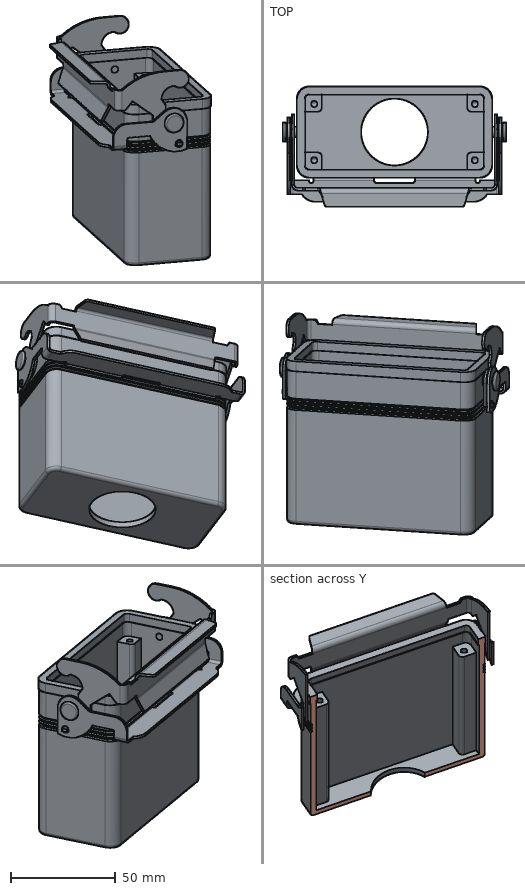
import cadquery as cq
import math

RIM_LENGTH = 94.0
RIM_WIDTH = 44.0
RIM_BOTTOM = 76.0
HOUSING_TOP = 81.0
RIM_OVERHANG = 0.3
BODY_LENGTH = RIM_LENGTH - 2 * RIM_OVERHANG
BODY_WIDTH = RIM_WIDTH - 2 * RIM_OVERHANG
RIM_CORNER = 6.1
BODY_CORNER = RIM_CORNER - RIM_OVERHANG
BOTTOM_FILLET = 1.8

OPENING_LENGTH = 86.0
OPENING_WIDTH = 36.0
OPENING_CORNER = 2.0
OPENING_DEPTH = 4.4
CAVITY_UNDERCUT = 0.4
CAVITY_LENGTH = OPENING_LENGTH + 2 * CAVITY_UNDERCUT
CAVITY_WIDTH = OPENING_WIDTH + 2 * CAVITY_UNDERCUT
CAVITY_CORNER = 3.2
FLOOR_THICKNESS = 3.0
CABLE_HOLE_DIAMETER = 32.0

POST_INNER_X = 34.9
POST_INNER_Y = 9.8
POST_CORNER = 2.0
POST_TOP = 69.1
SCREW_X = 38.6
SCREW_Y = 13.5
SCREW_DIAMETER = 3.0
SCREW_DEPTH = 12.0
DRILL_POINT_ANGLE = 118.0

GROOVE_COUNT = 3
GROOVE_HEIGHT = 1.6
GROOVE_DEPTH = 0.9
GROOVE_FLOOR = 0.4
GROOVE_PITCH = 2.05
GROOVES_TOP = 62.5

SHEET = 1.25
BEND_INNER = 1.3
BEND_OUTER = BEND_INNER + SHEET

PIVOT_Z = 72.0
PIN_DIAMETER = 5.2
PIN_END_DIAMETER = 3.4
HEAD_DIAMETER = 9.5
HEAD_OUTER_X = 53.75
HEAD_THICKNESS = 1.65
HEAD_ROUNDING = 0.8

LEVER_HALF_WIDTH = 49.35
LEVER_FRONT_Y = -28.1
LEVER_CORNER = 2.9
LEVER_TOP = 97.0
FRONT_TOP = 89.4
FRONT_BOTTOM = 79.35
FRONT_NOTCH_Z = 87.5
FRONT_NOTCH_HALF_WIDTH = 44.1
FRONT_NOTCH_SLOPE = 1.2

HOOK_TIP_Y = 4.2
HOOK_TIP_RADIUS = 4.35
HOOK_MOUTH_Y = 0.8
HOOK_MOUTH_Z = 83.4
HOOK_MOUTH_RADIUS = 6.0
HOOK_BACK_START_Y = -3.5
HOOK_BACK_MID = (-16.6, 94.6)
ARM_NECK_Z = 80.2
ARM_FRONT_TOP = 75.5
ARM_CROTCH = (-19.8, 83.5)
ARM_CROTCH_END_Y = -23.5
ARM_FRONT_Y = -9.5
ARM_BACK_Y = -3.0
ARM_FOOT_RADIUS = 8.0
ARM_FOOT_Z = 70.3
PIVOT_EYE_RADIUS = 5.5

FLANGE_TIP_Y = -35.98
FLANGE_TOP = 90.5
FLANGE_HALF_WIDTH = 35.9
FLAP_TIP_Z = 69.8
FLAP_HALF_WIDTH = 37.2
FLAP_BEND_Z = 78.0
FLAP_BEND_RADIUS = 1.6
FLAP_ANGLE = 23.5
TAB_TAPER = 15.0
TAB_CORNER = 1.5

STOP_Y = 2.95
STOP_Z = 61.0
STOP_WIDTH = 2.5
STOP_HEIGHT = 1.5
STOP_OUTER_X = 52.5
STOP_HOLE_DIAMETER = 3.5

BAIL_HALF_WIDTH = 51.45
BAIL_BOTTOM = 59.95
BAIL_BACK_Y = 7.0
BAIL_EYE_RADIUS = BAIL_BACK_Y
BAIL_ARM_TOP = 73.0
BAIL_ARM_BOTTOM = 66.1
BAIL_ARM_CORNER = 0.8
BAIL_NECK_Y = -10.1
BAIL_FRONT_Y = -30.0
BAIL_SHOULDER = 6.5
BAIL_FOOT_BOTTOM = 57.2
BAIL_FOOT_Y = 2.3
BAIL_FOOT_MID = (-5.9, 59.4)
BAIL_FOOT_FRONT_Y = -11.6
BAIL_HEEL_LENGTH = 3.4
BAIL_HEEL_RISE = 0.9
SHELF_INNER_Y = -23.15
SHELF_FRONT_Y = -33.6
SHELF_STEP_X = 44.5
SHELF_NOSE_X = 37.8
LIP_HALF_WIDTH = 39.0
LIP_BOTTOM = 58.7
LIP_ROUNDING = 1.2
RELIEF_WIDTH = 2.0
RELIEF_CORNER = 0.9
RELIEF_END_Y = -24.4
WINDOW_HALF_WIDTH = 9.8
WINDOW_CHAMFER = 0.8

SIDES = (-1, 1)
FAR = 200.0


def rounded_block(length, width, corner, z_bottom, z_top):
    block = cq.Workplane("XY").workplane(offset=z_bottom).rect(length, width)
    return block.extrude(z_top - z_bottom).edges("|Z").fillet(corner)


def box_between(x_range, y_range, z_range):
    lengths = [high - low for low, high in (x_range, y_range, z_range)]
    corner = (x_range[0], y_range[0], z_range[0])
    return cq.Workplane("XY").box(*lengths, centered=False).translate(corner)


def x_cylinder(diameter, y, z, x_start, x_end):
    disc = cq.Workplane("YZ").workplane(offset=x_start).center(y, z).circle(diameter / 2)
    return disc.extrude(x_end - x_start)


def mirrored_points(half):
    return half + [(-x, v) for x, v in reversed(half)]


def across(profile):
    """Extrude a YZ profile through the whole width."""
    return profile.extrude(FAR / 2, both=True)


def groove_cutter(z_top):
    """Ring with sloping sides and a flat floor that runs around the body."""
    z_bottom = z_top - GROOVE_HEIGHT
    slope = (GROOVE_HEIGHT - GROOVE_FLOOR) / 2
    taper = math.degrees(math.atan(GROOVE_DEPTH / slope))
    ring = rounded_block(RIM_LENGTH, RIM_WIDTH, RIM_CORNER, z_bottom, z_top)
    ring = ring.cut(rounded_block(
        BODY_LENGTH - 2 * GROOVE_DEPTH,
        BODY_WIDTH - 2 * GROOVE_DEPTH,
        BODY_CORNER - GROOVE_DEPTH,
        z_bottom,
        z_top))
    for start, direction in ((z_bottom, slope), (z_top, -slope)):
        outline = cq.Workplane("XY").workplane(offset=start).sketch()
        outline = outline.rect(BODY_LENGTH, BODY_WIDTH).vertices().fillet(BODY_CORNER).finalize()
        ring = ring.cut(outline.extrude(direction, taper=taper))
    return ring


def screw_hole(x, y):
    radius = SCREW_DIAMETER / 2
    point = radius / math.tan(math.radians(DRILL_POINT_ANGLE / 2))
    section = cq.Workplane("XZ").polyline([
        (0, POST_TOP),
        (radius, POST_TOP),
        (radius, POST_TOP - SCREW_DEPTH),
        (0, POST_TOP - SCREW_DEPTH - point),
    ]).close()
    return section.revolve(360, (0, 0), (0, 1)).translate((x, y, 0))


def corner_posts():
    posts = rounded_block(CAVITY_LENGTH, CAVITY_WIDTH, CAVITY_CORNER, FLOOR_THICKNESS, POST_TOP)
    height = POST_TOP - FLOOR_THICKNESS
    lengthwise = cq.Workplane("XY").rect(2 * POST_INNER_X, FAR)
    crosswise = cq.Workplane("XY").rect(FAR, 2 * POST_INNER_Y)
    cross = lengthwise.extrude(height).union(crosswise.extrude(height))
    corners = cq.selectors.BoxSelector((-FAR / 4, -FAR / 4, 0), (FAR / 4, FAR / 4, height))
    cross = cross.edges("|Z").edges(corners).fillet(POST_CORNER)
    return posts.cut(cross.translate((0, 0, FLOOR_THICKNESS)))


def make_housing():
    body = rounded_block(BODY_LENGTH, BODY_WIDTH, BODY_CORNER, 0, RIM_BOTTOM)
    body = body.faces("<Z").edges().fillet(BOTTOM_FILLET)
    body = body.union(rounded_block(RIM_LENGTH, RIM_WIDTH, RIM_CORNER, RIM_BOTTOM, HOUSING_TOP))
    for index in range(GROOVE_COUNT):
        body = body.cut(groove_cutter(GROOVES_TOP - index * GROOVE_PITCH))

    opening_bottom = HOUSING_TOP - OPENING_DEPTH
    body = body.cut(rounded_block(
        OPENING_LENGTH, OPENING_WIDTH, OPENING_CORNER, opening_bottom, HOUSING_TOP))
    body = body.cut(rounded_block(
        CAVITY_LENGTH, CAVITY_WIDTH, CAVITY_CORNER, FLOOR_THICKNESS, opening_bottom))
    body = body.union(corner_posts())
    for side_x in SIDES:
        for side_y in SIDES:
            body = body.cut(screw_hole(side_x * SCREW_X, side_y * SCREW_Y))

    body = body.cut(cq.Workplane("XY").circle(CABLE_HOLE_DIAMETER / 2).extrude(FLOOR_THICKNESS))
    return body.cut(x_cylinder(PIN_END_DIAMETER, 0, PIVOT_Z, -FAR / 2, FAR / 2))


def lever_side_profile():
    """Outline of a hook arm, continued over the edge of the front plate."""
    tip_z = LEVER_TOP - HOOK_TIP_RADIUS
    span_y = HOOK_MOUTH_Y - HOOK_TIP_Y
    span_z = HOOK_MOUTH_Z - tip_z
    span = math.hypot(span_y, span_z)
    along = (span**2 + HOOK_TIP_RADIUS**2 - HOOK_MOUTH_RADIUS**2) / (2 * span)
    aside = math.sqrt(HOOK_TIP_RADIUS**2 - along**2)
    meet_y = HOOK_TIP_Y + (along * span_y + aside * span_z) / span
    meet_z = tip_z + (along * span_z - aside * span_y) / span
    mouth_mid = HOOK_MOUTH_RADIUS * math.sqrt(0.5)

    bend_y = LEVER_FRONT_Y + LEVER_CORNER
    eye_top_z = PIVOT_Z + math.sqrt(PIVOT_EYE_RADIUS**2 - ARM_BACK_Y**2)
    eye_mid = PIVOT_EYE_RADIUS * math.sqrt(0.5)
    stop_bottom = STOP_Z - STOP_HEIGHT / 2
    stop_front_y = STOP_Y - STOP_WIDTH / 2
    foot_y = ARM_FRONT_Y + ARM_FOOT_RADIUS
    foot_bottom = ARM_FOOT_Z - ARM_FOOT_RADIUS
    foot_mid = ARM_FOOT_RADIUS * math.sqrt(0.5)

    return (
        cq.Workplane("YZ")
        .moveTo(LEVER_FRONT_Y, FRONT_TOP)
        .lineTo(bend_y, FRONT_TOP)
        .threePointArc(HOOK_BACK_MID, (HOOK_BACK_START_Y, LEVER_TOP))
        .lineTo(HOOK_TIP_Y, LEVER_TOP)
        .threePointArc((HOOK_TIP_Y + HOOK_TIP_RADIUS, tip_z), (meet_y, meet_z))
        .threePointArc(
            (HOOK_MOUTH_Y - mouth_mid, HOOK_MOUTH_Z + mouth_mid),
            (HOOK_MOUTH_Y - HOOK_MOUTH_RADIUS, HOOK_MOUTH_Z))
        .lineTo(ARM_BACK_Y, ARM_NECK_Z)
        .lineTo(ARM_BACK_Y, eye_top_z)
        .threePointArc((eye_mid, PIVOT_Z + eye_mid), (PIVOT_EYE_RADIUS, PIVOT_Z))
        .lineTo(PIVOT_EYE_RADIUS, stop_bottom)
        .lineTo(stop_front_y, stop_bottom)
        .lineTo(stop_front_y, foot_bottom)
        .lineTo(foot_y, foot_bottom)
        .threePointArc((foot_y - foot_mid, ARM_FOOT_Z - foot_mid), (ARM_FRONT_Y, ARM_FOOT_Z))
        .lineTo(ARM_FRONT_Y, ARM_FRONT_TOP)
        .lineTo(*ARM_CROTCH)
        .lineTo(ARM_CROTCH_END_Y, FRONT_BOTTOM)
        .lineTo(LEVER_FRONT_Y, FRONT_BOTTOM)
        .close()
    )


def lever_sheet():
    """U-shaped sheet in plan, tall enough to cut the lever from."""
    back = FAR / 4
    height = LEVER_TOP + 1

    def block(half_width, front_y, corner):
        solid = box_between((-half_width, half_width), (front_y, back), (0, height))
        return solid.edges("|Z and <Y").fillet(corner)

    outside = block(LEVER_HALF_WIDTH, LEVER_FRONT_Y, LEVER_CORNER)
    inside = block(LEVER_HALF_WIDTH - SHEET, LEVER_FRONT_Y + SHEET, LEVER_CORNER - SHEET)
    return outside.cut(inside)


def tapered_tab_outline(plane, half_width, root, tip):
    """Prism with a tapered outline and rounded tip corners, normal to the plane."""
    tip_half_width = half_width - abs(tip - root) * math.tan(math.radians(TAB_TAPER))
    half = [(-half_width, root), (-tip_half_width, tip)]
    prism = cq.Workplane(plane).polyline(mirrored_points(half)).close().extrude(FAR, both=True)
    normal = "|Z" if plane == "XY" else "|Y"
    toward_tip = "<Y" if plane == "XY" else "<Z"
    return prism.edges(normal).edges(toward_tip).fillet(TAB_CORNER)


def lever_flange():
    """Thumb flange bent outwards from the top of the front plate."""
    inner_y = LEVER_FRONT_Y + SHEET
    bend_y = inner_y - BEND_OUTER
    bend_z = FLANGE_TOP - BEND_OUTER
    diagonal = math.sqrt(0.5)
    strip = (
        cq.Workplane("YZ")
        .moveTo(inner_y, FRONT_NOTCH_Z - SHEET)
        .lineTo(inner_y, bend_z)
        .threePointArc(
            (bend_y + BEND_OUTER * diagonal, bend_z + BEND_OUTER * diagonal), (bend_y, FLANGE_TOP))
        .lineTo(FLANGE_TIP_Y, FLANGE_TOP)
        .lineTo(FLANGE_TIP_Y, FLANGE_TOP - SHEET)
        .lineTo(bend_y, FLANGE_TOP - SHEET)
        .threePointArc(
            (bend_y + BEND_INNER * diagonal, bend_z + BEND_INNER * diagonal), (LEVER_FRONT_Y, bend_z))
        .lineTo(LEVER_FRONT_Y, FRONT_NOTCH_Z - SHEET)
        .close()
    )
    outline = tapered_tab_outline("XY", FLANGE_HALF_WIDTH, inner_y, FLANGE_TIP_Y)
    return across(strip).intersect(outline)


def lever_flap():
    """Flap bent outwards from the bottom of the front plate."""
    inner_y = LEVER_FRONT_Y + SHEET
    angle = math.radians(FLAP_ANGLE)
    center_y = LEVER_FRONT_Y - FLAP_BEND_RADIUS

    def on_bend(radius, turn):
        return (center_y + radius * math.cos(turn), FLAP_BEND_Z - radius * math.sin(turn))

    inner_radius = FLAP_BEND_RADIUS + SHEET
    inner_end = on_bend(inner_radius, angle)
    reach = (inner_end[1] - FLAP_TIP_Z) / math.cos(angle)
    inner_tip = (inner_end[0] - reach * math.sin(angle), FLAP_TIP_Z)
    outer_tip = (inner_tip[0] - SHEET * math.cos(angle), FLAP_TIP_Z + SHEET * math.sin(angle))
    strip = (
        cq.Workplane("YZ")
        .moveTo(inner_y, FRONT_BOTTOM + SHEET)
        .lineTo(inner_y, FLAP_BEND_Z)
        .threePointArc(on_bend(inner_radius, angle / 2), inner_end)
        .lineTo(*inner_tip)
        .lineTo(*outer_tip)
        .lineTo(*on_bend(FLAP_BEND_RADIUS, angle))
        .threePointArc(on_bend(FLAP_BEND_RADIUS, angle / 2), (LEVER_FRONT_Y, FLAP_BEND_Z))
        .lineTo(LEVER_FRONT_Y, FRONT_BOTTOM + SHEET)
        .close()
    )
    outline = tapered_tab_outline("XZ", FLAP_HALF_WIDTH, FRONT_BOTTOM + SHEET, FLAP_TIP_Z)
    return across(strip).intersect(outline)


def make_lever():
    lever = lever_sheet().intersect(across(lever_side_profile()))
    notch = cq.Workplane("XZ").polyline(mirrored_points([
        (-FRONT_NOTCH_HALF_WIDTH, FRONT_TOP),
        (-FRONT_NOTCH_HALF_WIDTH + FRONT_NOTCH_SLOPE, FRONT_NOTCH_Z),
    ])).close().extrude(FAR, both=True)
    lever = lever.cut(notch).union(lever_flange()).union(lever_flap())
    for side in SIDES:
        x_range = sorted((side * (LEVER_HALF_WIDTH - SHEET), side * STOP_OUTER_X))
        lever = lever.union(box_between(
            x_range,
            (STOP_Y - STOP_WIDTH / 2, STOP_Y + STOP_WIDTH / 2),
            (STOP_Z - STOP_HEIGHT / 2, STOP_Z + STOP_HEIGHT / 2)))
    return lever


def bail_side_profile():
    """Outline of a bail arm down to the underside of the shelf."""
    distance = math.hypot(BAIL_NECK_Y, BAIL_ARM_TOP - PIVOT_Z)
    tangent_angle = math.atan2(BAIL_ARM_TOP - PIVOT_Z, BAIL_NECK_Y) - math.acos(BAIL_EYE_RADIUS / distance)
    tangent_y = BAIL_EYE_RADIUS * math.cos(tangent_angle)
    tangent_z = PIVOT_Z + BAIL_EYE_RADIUS * math.sin(tangent_angle)
    eye_mid = BAIL_EYE_RADIUS * math.sqrt(0.5)
    corner_mid = BAIL_ARM_CORNER * (1 - math.sqrt(0.5))
    shoulder_mid = BAIL_SHOULDER * (1 - math.sqrt(0.5))
    return (
        cq.Workplane("YZ")
        .moveTo(BAIL_BACK_Y, PIVOT_Z)
        .threePointArc((eye_mid, PIVOT_Z + eye_mid), (tangent_y, tangent_z))
        .lineTo(BAIL_NECK_Y, BAIL_ARM_TOP)
        .lineTo(BAIL_FRONT_Y + BAIL_SHOULDER, BAIL_ARM_TOP)
        .threePointArc(
            (BAIL_FRONT_Y + shoulder_mid, BAIL_ARM_TOP - shoulder_mid),
            (BAIL_FRONT_Y, BAIL_ARM_TOP - BAIL_SHOULDER))
        .lineTo(BAIL_FRONT_Y, BAIL_BOTTOM)
        .lineTo(SHELF_INNER_Y, BAIL_BOTTOM)
        .lineTo(SHELF_INNER_Y, BAIL_ARM_BOTTOM - BAIL_ARM_CORNER)
        .threePointArc(
            (SHELF_INNER_Y + corner_mid, BAIL_ARM_BOTTOM - corner_mid),
            (SHELF_INNER_Y + BAIL_ARM_CORNER, BAIL_ARM_BOTTOM))
        .lineTo(BAIL_FOOT_FRONT_Y, BAIL_ARM_BOTTOM)
        .threePointArc(BAIL_FOOT_MID, (BAIL_FOOT_Y, BAIL_FOOT_BOTTOM))
        .lineTo(BAIL_BACK_Y - BAIL_HEEL_LENGTH, BAIL_FOOT_BOTTOM)
        .lineTo(BAIL_BACK_Y, BAIL_FOOT_BOTTOM + BAIL_HEEL_RISE)
        .close()
    )


def bail_sheet():
    """Flat side plates that turn into a channel where the shelf joins them."""
    height = BAIL_ARM_TOP + FAR / 4

    def channel(half_width, bottom, radius):
        solid = box_between((-half_width, half_width), (-FAR / 4, SHELF_INNER_Y), (bottom, height))
        return solid.edges("|Y and <Z").fillet(radius)

    inner_half_width = BAIL_HALF_WIDTH - SHEET
    sheet = channel(BAIL_HALF_WIDTH, BAIL_BOTTOM, BEND_OUTER)
    sheet = sheet.cut(channel(inner_half_width, BAIL_BOTTOM + SHEET, BEND_INNER))
    for side in SIDES:
        x_range = sorted((side * inner_half_width, side * BAIL_HALF_WIDTH))
        sheet = sheet.union(box_between(x_range, (SHELF_INNER_Y, FAR / 4), (0, height)))
    return sheet


def shelf_nose():
    """Part of the shelf that stands out in front of the arms."""
    arc_dx = SHELF_STEP_X - SHELF_NOSE_X
    arc_dy = BAIL_FRONT_Y - SHELF_FRONT_Y
    radius = (arc_dx**2 + arc_dy**2) / (2 * arc_dy)
    half_angle = math.asin(arc_dx / radius) / 2
    mid_x = SHELF_NOSE_X + radius * math.sin(half_angle)
    mid_y = SHELF_FRONT_Y + radius * (1 - math.cos(half_angle))
    return (
        cq.Workplane("XY")
        .workplane(offset=BAIL_BOTTOM)
        .moveTo(-SHELF_STEP_X, SHELF_INNER_Y)
        .lineTo(-SHELF_STEP_X, BAIL_FRONT_Y)
        .threePointArc((-mid_x, mid_y), (-SHELF_NOSE_X, SHELF_FRONT_Y))
        .lineTo(SHELF_NOSE_X, SHELF_FRONT_Y)
        .threePointArc((mid_x, mid_y), (SHELF_STEP_X, BAIL_FRONT_Y))
        .lineTo(SHELF_STEP_X, SHELF_INNER_Y)
        .close()
        .extrude(SHEET)
    )


def shelf_lip():
    """Lip turned down along the housing."""
    lip = box_between(
        (-LIP_HALF_WIDTH, LIP_HALF_WIDTH),
        (SHELF_INNER_Y, SHELF_INNER_Y + SHEET),
        (LIP_BOTTOM, BAIL_BOTTOM + SHEET))
    return lip.edges("|X and >Y and >Z").fillet(LIP_ROUNDING)


def shelf_cutouts():
    """Window in the middle of the lip and a relief slot at each of its ends."""
    low = LIP_BOTTOM - SHEET
    depth = (RELIEF_END_Y, SHELF_INNER_Y + 2 * SHEET)
    height = (low, BAIL_BOTTOM + 2 * SHEET)
    cutouts = box_between((-WINDOW_HALF_WIDTH, WINDOW_HALF_WIDTH), depth, height)
    cutouts = cutouts.edges("|Z and <Y").chamfer(WINDOW_CHAMFER)
    for side in SIDES:
        x_range = sorted((side * LIP_HALF_WIDTH, side * (LIP_HALF_WIDTH + RELIEF_WIDTH)))
        relief = box_between(x_range, depth, height)
        cutouts = cutouts.union(relief.edges("|Z and <Y").fillet(RELIEF_CORNER))
    return cutouts


def make_bail():
    bail = bail_sheet().intersect(across(bail_side_profile()))
    bail = bail.union(shelf_nose()).union(shelf_lip()).cut(shelf_cutouts())
    return bail.cut(x_cylinder(STOP_HOLE_DIAMETER, STOP_Y, STOP_Z, -FAR / 2, FAR / 2))


def pivot_pin(side):
    """Riveted pin from the cavity wall out to its rounded head."""
    wall_inside = side * CAVITY_LENGTH / 2
    wall_outside = side * BODY_LENGTH / 2
    head_inside = side * (HEAD_OUTER_X - HEAD_THICKNESS)
    end = x_cylinder(PIN_END_DIAMETER, 0, PIVOT_Z, wall_inside, wall_outside)
    shank = x_cylinder(PIN_DIAMETER, 0, PIVOT_Z, wall_outside, head_inside)
    head = x_cylinder(HEAD_DIAMETER, 0, PIVOT_Z, head_inside, side * HEAD_OUTER_X)
    head = head.faces("<X or >X").edges().fillet(HEAD_ROUNDING)
    return end.union(shank).union(head)


def make_latch():
    assembly = make_lever().union(make_bail())
    for side in SIDES:
        assembly = assembly.union(pivot_pin(side))
    return assembly


housing = make_housing()
latch = make_latch()
result = cq.Compound.makeCompound([housing.solids().val(), latch.solids().val()])